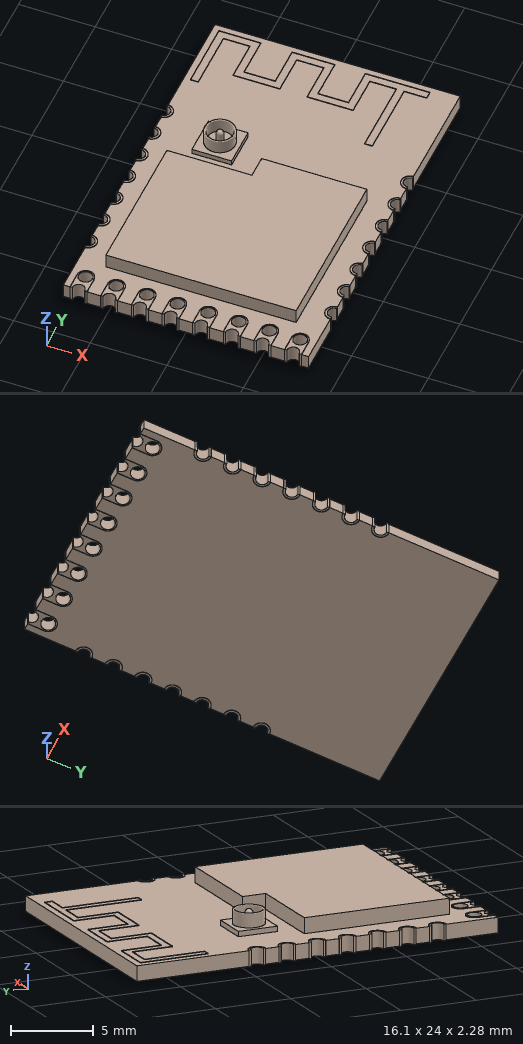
import cadquery as cq

overall_width = 16.05
overall_length = 24.02
overall_height = 2.28
connector_height = 1.25
edge_copper = 0.012
face_copper = 0.035
board_width = overall_width - 2 * edge_copper
board_length = overall_length - edge_copper
board_thickness = overall_height - connector_height - face_copper

left_edge = -board_width / 2
right_edge = board_width / 2
top_edge = board_length / 2
bottom_edge = -board_length / 2

pitch = board_length / 12
pad_width = 1.1
hole_diameter = 0.9
side_pad_count = 7
bottom_pad_count = 8
first_side_pad_y = bottom_edge + 2 * pitch
first_bottom_pad_x = -(bottom_pad_count - 1) / 2 * pitch
pad_height = board_thickness + 2 * face_copper
notch_diameter = 0.8
bottom_hole_y = bottom_edge + 1.1

trace_width = 0.5
antenna_left = left_edge + 0.7
antenna_right_end = left_edge + 14.22
antenna_top = top_edge - 0.7
antenna_low = top_edge - 3.36
antenna_bends = [left_edge + inset for inset in (2.93, 5.48, 7.75, 10.25)]
antenna_left_end = top_edge - 4.95
feed_x = left_edge + 12.5
feed_end = top_edge - 5.98

shield_left = left_edge + 1.8
shield_right = left_edge + 14.22
shield_bottom = bottom_edge + 2.4
shield_top = top_edge - 10.42
shield_step_x = left_edge + 7.35
shield_step_y = top_edge - 11.95
shield_height = 1.0

connector_x = left_edge + 4.2
connector_y = top_edge - 9.4
connector_size = 2.6
connector_base_height = 0.34
barrel_diameter = 2.0
barrel_bore = 1.7
rim_round = 0.06
pin_diameter = 0.5


def block(x_min, x_max, y_min, y_max, z_min, height):
    """Box given by its limits in X and Y, its floor and its height."""
    return (
        cq.Workplane("XY", origin=(0, 0, z_min))
        .center((x_min + x_max) / 2, (y_min + y_max) / 2)
        .rect(x_max - x_min, y_max - y_min)
        .extrude(height)
    )


def disc(x, y, diameter, z_min, height):
    """Upright cylinder."""
    return cq.Workplane("XY", origin=(x, y, z_min)).circle(diameter / 2).extrude(height)


def through_pin(x, y, diameter):
    """Cylinder spanning the full height of the pads."""
    return disc(x, y, diameter, -face_copper, pad_height)


def add_side_pads(body):
    """Plated half-round notches down both long edges."""
    limits = block(
        left_edge - edge_copper, right_edge + edge_copper,
        bottom_edge, top_edge, -face_copper, pad_height,
    )
    for x in (left_edge, right_edge):
        for index in range(side_pad_count):
            y = first_side_pad_y + index * pitch
            body = body.union(through_pin(x, y, pad_width).intersect(limits))
            body = body.cut(through_pin(x, y, notch_diameter))
    return body


def add_bottom_pads(body):
    """Round-ended pads along the short edge, each with a hole and an edge notch."""
    for index in range(bottom_pad_count):
        x = first_bottom_pad_x + index * pitch
        strip = block(
            x - pad_width / 2, x + pad_width / 2,
            bottom_edge - edge_copper, bottom_hole_y, -face_copper, pad_height,
        )
        body = body.union(strip).union(through_pin(x, bottom_hole_y, pad_width))
        body = body.cut(through_pin(x, bottom_hole_y, hole_diameter))
        body = body.cut(through_pin(x, bottom_edge, notch_diameter))
    return body


def trace(x_start, y_start, x_end, y_end):
    """Straight trace along X or Y; the given ends are on the centre line, with square caps."""
    cap = trace_width / 2
    return block(
        min(x_start, x_end) - cap, max(x_start, x_end) + cap,
        min(y_start, y_end) - cap, max(y_start, y_end) + cap,
        board_thickness, face_copper,
    )


def make_antenna():
    """Meander that runs between two levels, plus the straight feed."""
    cap = trace_width / 2
    path = [(antenna_left, antenna_left_end + cap), (antenna_left, antenna_top)]
    level, next_level = antenna_top, antenna_low
    for bend_x in antenna_bends:
        path += [(bend_x, level), (bend_x, next_level)]
        level, next_level = next_level, level
    path.append((antenna_right_end - cap, antenna_top))

    antenna = trace(feed_x, antenna_top, feed_x, feed_end + cap)
    for start, end in zip(path, path[1:]):
        antenna = antenna.union(trace(*start, *end))
    return antenna


def make_shield():
    can = block(
        shield_left, shield_right, shield_bottom, shield_top, board_thickness, shield_height
    )
    step = block(
        shield_left, shield_step_x, shield_step_y, shield_top, board_thickness, shield_height
    )
    return can.cut(step)


def make_connector():
    """Square base carrying a round-rimmed barrel and a domed centre pin."""
    half = connector_size / 2
    base = block(
        connector_x - half, connector_x + half, connector_y - half, connector_y + half,
        board_thickness, connector_base_height,
    )
    floor = board_thickness + connector_base_height
    barrel_height = connector_height - connector_base_height
    barrel = disc(connector_x, connector_y, barrel_diameter, floor, barrel_height)
    barrel = barrel.cut(disc(connector_x, connector_y, barrel_bore, floor, barrel_height))
    barrel = barrel.faces(">Z").edges().fillet(rim_round)

    dome_z = board_thickness + connector_height - pin_diameter / 2
    pin = disc(connector_x, connector_y, pin_diameter, floor, dome_z - floor)
    dome = cq.Workplane("XY", origin=(connector_x, connector_y, dome_z)).sphere(pin_diameter / 2)
    return base.union(barrel).union(pin).union(dome)


board = block(left_edge, right_edge, bottom_edge, top_edge, 0, board_thickness)
board = add_bottom_pads(add_side_pads(board))
result = board.union(make_antenna()).union(make_shield()).union(make_connector())